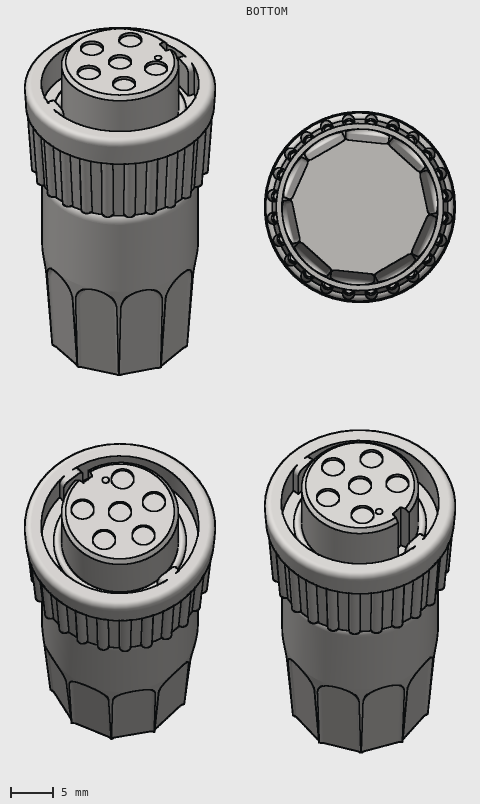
import cadquery as cq
import math

TOTAL_HEIGHT = 40.05
DOT_HEIGHT = 0.12
PLUG_TOP = TOTAL_HEIGHT - DOT_HEIGHT
NUT_TOP = 36.75
HEAD_BOTTOM = 33.0
BORE_FLOOR = 32.75
NUT_BOTTOM = 24.78
BODY_TOP = 24.15
CONE_TOP = 13.1

BODY_RADIUS = 9.1
BODY_SHOULDER_FILLET = 1.2
NECK_RADIUS = 7.8
GRIP_END_RADIUS = 8.25
GRIP_END_CHAMFER = 0.2

FLAT_COUNT = 10
FLAT_FIRST_ANGLE = -84.0
FLAT_APOTHEM = 7.6
FLAT_TILT = math.degrees(math.atan((BODY_RADIUS - GRIP_END_RADIUS) / CONE_TOP))
FLAT_HALF_WIDTH = 2.6
FLAT_ARCH_CENTRE = 10.45
FLAT_EDGE_FILLET = 0.52
FLAT_CUT_DEPTH = 2.0
FLAT_OVERHANG = 2.0

NUT_DIAMETER = 22.2
NUT_RADIUS = NUT_DIAMETER / 2
NUT_TOP_FILLET = 0.75
NUT_RIM_BAND = 0.1
NUT_DRAFT = math.tan(math.radians(3.5))
HEAD_EDGE_FILLET = 0.65
RIB_CREST_RADIUS = 10.33
RIB_COUNT = 24
RIB_RADIUS = 0.7
RIB_END_CHAMFER = 0.2
RIB_HEIGHT = 0.6
VALLEY_RADIUS = RIB_CREST_RADIUS - RIB_HEIGHT

BORE_RADIUS = 9.15
KEY_HALF_WIDTH = 1.45
KEY_FILLET = 0.75
KEY_INNER_Y = 8.3
KEY_EMBED = 0.05
BEAD_OUTER_RADIUS = 7.73

PLUG_RADIUS = 6.8
PLUG_CHAMFER = 0.5
CONTACT_RADIUS = 1.32
CONTACT_DEPTH = 0.4
CONTACT_CENTRES = [(0, 0), (-3.1, 3.1), (3.1, 3.1), (-3.85, -1.6), (3.85, -1.6), (0, -4.15)]
KEYWAY_INNER_Y = 5.7
KEYWAY_INNER_HALF_WIDTH = 0.7
KEYWAY_OUTER_HALF_WIDTH = 1.0
DOT_CENTRE = (1.5, 4.25)
DOT_RADIUS = 0.4


def revolve_profile(points):
    """Turn a closed (radius, height) outline about the Z axis."""
    return cq.Workplane("XZ").polyline(points).close().revolve(360, (0, 0, 0), (0, 1, 0))


def cylinder(radius, bottom, top):
    return cq.Workplane("XY").workplane(offset=bottom).circle(radius).extrude(top - bottom)


def flat_cutter():
    """Arched pocket tool with a flat floor and rounded floor edges, facing +X."""
    tool = (
        cq.Workplane("YZ")
        .moveTo(-FLAT_HALF_WIDTH, -FLAT_OVERHANG)
        .lineTo(-FLAT_HALF_WIDTH, FLAT_ARCH_CENTRE)
        .threePointArc((0, FLAT_ARCH_CENTRE + FLAT_HALF_WIDTH), (FLAT_HALF_WIDTH, FLAT_ARCH_CENTRE))
        .lineTo(FLAT_HALF_WIDTH, -FLAT_OVERHANG)
        .close()
        .extrude(FLAT_CUT_DEPTH)
        .faces("<X")
        .edges()
        .fillet(FLAT_EDGE_FILLET)
    )
    return tool.rotate((0, 0, 0), (0, 1, 0), FLAT_TILT).translate((FLAT_APOTHEM, 0, 0))


def backshell():
    body = cylinder(BODY_RADIUS, CONE_TOP, BODY_TOP).faces(">Z").edges().fillet(BODY_SHOULDER_FILLET)
    grip = revolve_profile(
        [(0, 0), (GRIP_END_RADIUS, 0), (BODY_RADIUS, CONE_TOP), (0, CONE_TOP)]
    ).faces("<Z").edges().chamfer(GRIP_END_CHAMFER)
    cutter = flat_cutter()
    for i in range(FLAT_COUNT):
        angle = FLAT_FIRST_ANGLE + i * 360 / FLAT_COUNT
        grip = grip.cut(cutter.rotate((0, 0, 0), (0, 0, 1), angle))
    neck = cylinder(NECK_RADIUS, CONE_TOP, NUT_BOTTOM)
    return body.union(grip).union(neck)


def nut_rib():
    """Round rib on the +X side, leaning outward along the draft of the nut."""
    end_drop = RIB_RADIUS * NUT_DRAFT
    axis = cq.Plane(
        origin=(RIB_CREST_RADIUS - RIB_RADIUS, 0, NUT_BOTTOM + end_drop),
        xDir=(0, 1, 0),
        normal=(NUT_DRAFT, 0, 1),
    )
    height = HEAD_BOTTOM + HEAD_EDGE_FILLET - NUT_BOTTOM
    rib = cq.Workplane(axis).circle(RIB_RADIUS).extrude(height)
    return rib.faces("<Z").edges().chamfer(RIB_END_CHAMFER)


def nut_head():
    rounding_bottom = NUT_TOP - NUT_TOP_FILLET
    band_bottom = rounding_bottom - NUT_RIM_BAND
    lower_radius = NUT_RADIUS - (band_bottom - HEAD_BOTTOM) * NUT_DRAFT
    return (
        cq.Workplane("XZ")
        .moveTo(0, HEAD_BOTTOM)
        .lineTo(lower_radius, HEAD_BOTTOM)
        .lineTo(NUT_RADIUS, band_bottom)
        .lineTo(NUT_RADIUS, rounding_bottom)
        .radiusArc((NUT_RADIUS - NUT_TOP_FILLET, NUT_TOP), -NUT_TOP_FILLET)
        .lineTo(0, NUT_TOP)
        .close()
        .revolve(360, (0, 0, 0), (0, 1, 0))
        .faces("<Z")
        .edges()
        .fillet(HEAD_EDGE_FILLET)
    )


def coupling_nut():
    valley_top = VALLEY_RADIUS + (HEAD_BOTTOM - NUT_BOTTOM) * NUT_DRAFT
    sleeve = revolve_profile(
        [(0, NUT_BOTTOM), (VALLEY_RADIUS, NUT_BOTTOM), (valley_top, HEAD_BOTTOM), (0, HEAD_BOTTOM)]
    )
    nut = nut_head().union(sleeve)
    rib = nut_rib()
    for i in range(RIB_COUNT):
        angle = (i + 0.5) * 360 / RIB_COUNT
        nut = nut.union(rib.rotate((0, 0, 0), (0, 0, 1), angle))
    nut = nut.cut(cylinder(BORE_RADIUS, BORE_FLOOR, NUT_TOP))
    return nut.union(bore_keys()).union(bead())


def bore_keys():
    """Two round-shouldered keys on opposite sides of the bore."""
    outer_radius = BORE_RADIUS + KEY_EMBED
    floor_plane = cq.Workplane("XY").workplane(offset=BORE_FLOOR)
    bars = (
        floor_plane
        .rect(2 * KEY_HALF_WIDTH, 2 * outer_radius)
        .extrude(NUT_TOP - BORE_FLOOR)
        .edges("|Y and >Z")
        .fillet(KEY_FILLET)
    )
    gap = floor_plane.rect(2 * KEY_HALF_WIDTH, 2 * KEY_INNER_Y).extrude(NUT_TOP - BORE_FLOOR)
    return bars.cut(gap).intersect(cylinder(outer_radius, BORE_FLOOR, NUT_TOP))


def bead():
    """Half-round ring on the bore floor around the foot of the plug."""
    bead_radius = (BEAD_OUTER_RADIUS - PLUG_RADIUS) / 2
    centre_radius = PLUG_RADIUS + bead_radius
    return (
        cq.Workplane("XZ")
        .center(centre_radius, BORE_FLOOR)
        .circle(bead_radius)
        .revolve(360, (-centre_radius, 0, 0), (-centre_radius, 1, 0))
    )


def plug():
    insert = cylinder(PLUG_RADIUS, BORE_FLOOR, PLUG_TOP).faces(">Z").edges().chamfer(PLUG_CHAMFER)
    top_plane = cq.Workplane("XY").workplane(offset=PLUG_TOP)
    contacts = top_plane.pushPoints(CONTACT_CENTRES).circle(CONTACT_RADIUS).extrude(-CONTACT_DEPTH)
    keyway = (
        top_plane.polyline(
            [
                (-KEYWAY_INNER_HALF_WIDTH, KEYWAY_INNER_Y),
                (KEYWAY_INNER_HALF_WIDTH, KEYWAY_INNER_Y),
                (KEYWAY_OUTER_HALF_WIDTH, PLUG_RADIUS),
                (-KEYWAY_OUTER_HALF_WIDTH, PLUG_RADIUS),
            ]
        )
        .close()
        .extrude(BORE_FLOOR - PLUG_TOP)
    )
    return insert.cut(contacts).cut(keyway).union(index_dot())


def index_dot():
    """Shallow dome marking the first contact."""
    sphere_radius = (DOT_RADIUS**2 + DOT_HEIGHT**2) / (2 * DOT_HEIGHT)
    sphere = cq.Workplane("XY").sphere(sphere_radius).translate((*DOT_CENTRE, TOTAL_HEIGHT - sphere_radius))
    return sphere.intersect(cylinder(BORE_RADIUS, PLUG_TOP, TOTAL_HEIGHT))


result = backshell().union(coupling_nut()).union(plug())